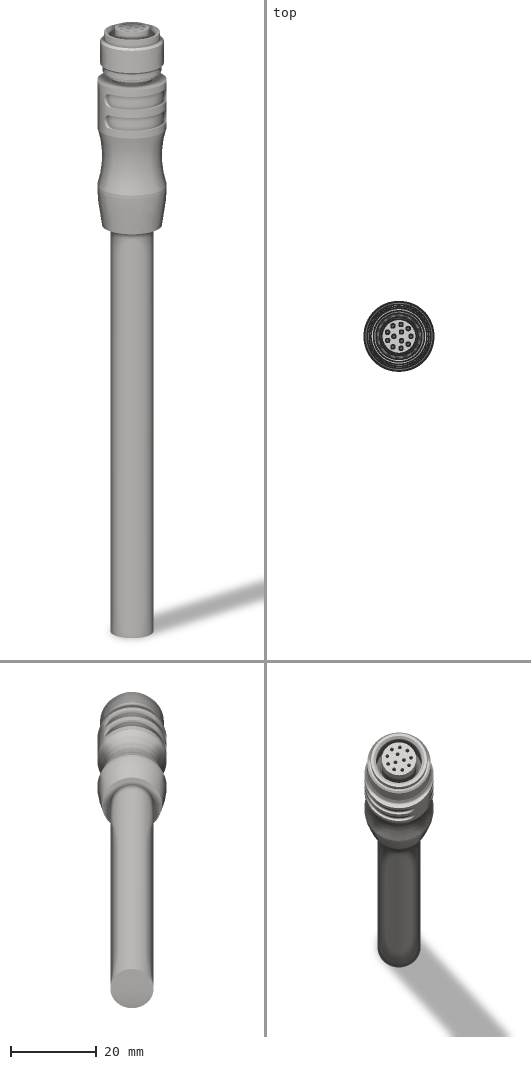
import cadquery as cq

total_length = 148.7
grip_bottom = 100.1
band_bottom = 109.1
band_height = 0.9
band_top = band_bottom + band_height
body_bottom = 124.0
body_top = 135.9
neck_height = 1.2
neck_top = body_top + neck_height
small_ring_height = 0.9
small_ring_top = neck_top + small_ring_height
large_ring_height = 1.5
nut_bottom = small_ring_top + large_ring_height
nut_height = 6.4
nut_top = nut_bottom + nut_height
collar_height = 1.8
collar_top = nut_top + collar_height

body_diameter = 16.2
body_radius = body_diameter / 2
cable_radius = 5.0
grip_end_radius = 7.0
grip_bulge_radius = 7.7
band_radius = body_radius
waist_radius = 7.0
grip_shoulder_radius = 8.0
neck_radius = 4.8
small_ring_radius = 6.0
large_ring_radius = 6.8
nut_radius = 7.5
collar_radius = 6.5
nut_chamfer = 0.5

socket_radius = 5.4
insert_radius = 4.0
socket_depth = 7.5
socket_floor = collar_top - socket_depth
socket_mouth_chamfer = 0.6
insert_foot_flare = 0.5
contact_hole_diameter = 0.9
contact_hole_depth = 4.5
outer_contact_count = 9
outer_contact_circle_radius = 2.8
outer_contact_first_angle = 0
inner_contact_count = 3
inner_contact_circle_radius = 1.2
inner_contact_first_angle = 60

slot_width = 3.3
slot_heights = (127.5, 132.6)
slot_floor_radius = 7.5
slot_end_offset = 2.7


def turned_housing():
    """Cable, grip, body, nut and collar as one revolved outline."""
    waist_height = (band_top + body_bottom) / 2
    bulge_height = (grip_bottom + band_bottom) / 2
    outline = (
        cq.Workplane("XZ")
        .lineTo(cable_radius, 0)
        .lineTo(cable_radius, grip_bottom)
        .lineTo(grip_end_radius, grip_bottom)
        .threePointArc((grip_bulge_radius, bulge_height), (band_radius, band_bottom))
        .lineTo(band_radius, band_top)
        .threePointArc((waist_radius, waist_height), (grip_shoulder_radius, body_bottom))
        .lineTo(body_radius, body_bottom)
        .lineTo(body_radius, body_top)
        .lineTo(neck_radius, body_top)
        .lineTo(neck_radius, neck_top)
        .lineTo(small_ring_radius, neck_top)
        .lineTo(small_ring_radius, small_ring_top)
        .lineTo(large_ring_radius, small_ring_top)
        .lineTo(large_ring_radius, nut_bottom)
        .lineTo(nut_radius - nut_chamfer, nut_bottom)
        .lineTo(nut_radius, nut_bottom + nut_chamfer)
        .lineTo(nut_radius, nut_top - nut_chamfer)
        .lineTo(nut_radius - nut_chamfer, nut_top)
        .lineTo(collar_radius, nut_top)
        .lineTo(collar_radius, collar_top)
        .lineTo(0, collar_top)
        .close()
    )
    return outline.revolve(360, (0, 0), (0, 1))


def socket_cavity():
    """Round cavity in the collar end, opening out in a chamfered mouth."""
    outline = (
        cq.Workplane("XZ", origin=(0, 0, socket_floor))
        .lineTo(socket_radius, 0)
        .lineTo(socket_radius, socket_depth - socket_mouth_chamfer)
        .lineTo(socket_radius + socket_mouth_chamfer, socket_depth)
        .lineTo(0, socket_depth)
        .close()
    )
    return outline.revolve(360, (0, 0), (0, 1))


def contact_holes(count, circle_radius, first_angle):
    """Blind holes evenly spaced on a circle in the insert face."""
    return (
        cq.Workplane("XY", origin=(0, 0, total_length - contact_hole_depth))
        .polarArray(circle_radius, first_angle, 360, count)
        .circle(contact_hole_diameter / 2)
        .extrude(contact_hole_depth)
    )


def contact_insert():
    """Round contact carrier with a flared foot, rising from the socket floor to just above the collar."""
    foot_radius = insert_radius + insert_foot_flare
    outline = (
        cq.Workplane("XZ", origin=(0, 0, socket_floor))
        .lineTo(foot_radius, 0)
        .lineTo(insert_radius, insert_foot_flare)
        .lineTo(insert_radius, total_length - socket_floor)
        .lineTo(0, total_length - socket_floor)
        .close()
    )
    insert = outline.revolve(360, (0, 0), (0, 1))
    outer_holes = contact_holes(
        outer_contact_count, outer_contact_circle_radius, outer_contact_first_angle
    )
    inner_holes = contact_holes(
        inner_contact_count, inner_contact_circle_radius, inner_contact_first_angle
    )
    return insert.cut(outer_holes).cut(inner_holes)


def finger_slot(height, side):
    """Slot wrapped round one side of the body, with rounded ends when seen along Y."""
    ring = (
        cq.Workplane("XY", origin=(0, 0, height - slot_width / 2))
        .circle(body_diameter)
        .circle(slot_floor_radius)
        .extrude(slot_width)
    )
    slot_center = side * (slot_end_offset + body_radius)
    stadium = (
        cq.Workplane("XZ")
        .center(slot_center, height)
        .slot2D(body_diameter, slot_width)
        .extrude(body_diameter, both=True)
    )
    return ring.intersect(stadium)


result = turned_housing().cut(socket_cavity()).union(contact_insert())
for slot_height in slot_heights:
    for slot_side in (-1, 1):
        result = result.cut(finger_slot(slot_height, slot_side))